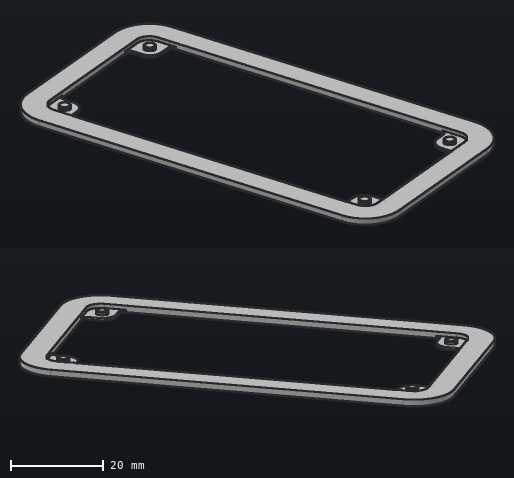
import cadquery as cq

length = 97.0
width = 52.0
thickness = 1.6
band = 5.8
outer_radius = 9.0
inner_radius = outer_radius - band

tab_size = 6.8
tab_thickness = 0.6
tab_radius = 3.2
root_radius = 1.2
pin_diameter = 2.7
pin_height = 0.8
pin_chamfer = 0.2
pin_inset = band + tab_size - tab_radius

opening_length = length - 2 * band
opening_width = width - 2 * band


def rounded_plate(size_x, size_y, height, radius):
    """Plate on the XY plane with rounded vertical edges."""
    return cq.Workplane("XY").rect(size_x, size_y).extrude(height).edges("|Z").fillet(radius)


def base_layer():
    """Lower layer: the frame with a rounded tab left in each corner of its opening."""
    long_cut = cq.Workplane("XY").rect(opening_length, opening_width - 2 * tab_size).extrude(tab_thickness)
    wide_cut = cq.Workplane("XY").rect(opening_length - 2 * tab_size, opening_width).extrude(tab_thickness)
    opening = long_cut.union(wide_cut)

    tab_x = opening_length / 2 - tab_size
    tab_y = opening_width / 2 - tab_size
    half_window = tab_radius / 2
    for side_x in (-1, 1):
        for side_y in (-1, 1):
            x = side_x * tab_x
            y = side_y * tab_y
            corner = cq.selectors.BoxSelector(
                (x - half_window, y - half_window, -tab_thickness),
                (x + half_window, y + half_window, 2 * tab_thickness),
            )
            opening = opening.edges(corner).edges("|Z").fillet(tab_radius)

    for end in (">X", "<X", ">Y", "<Y"):
        opening = opening.faces(end).edges("|Z").fillet(root_radius)
    return rounded_plate(length, width, tab_thickness, outer_radius).cut(opening)


def upper_layer():
    """Plain frame above the tabs."""
    height = thickness - tab_thickness
    outer = rounded_plate(length, width, height, outer_radius)
    opening = rounded_plate(opening_length, opening_width, height, inner_radius)
    return outer.cut(opening).translate((0, 0, tab_thickness))


def pins():
    """One round pin on each tab."""
    return (
        cq.Workplane("XY")
        .rect(length - 2 * pin_inset, width - 2 * pin_inset, forConstruction=True)
        .vertices()
        .circle(pin_diameter / 2)
        .extrude(tab_thickness + pin_height)
        .faces(">Z")
        .chamfer(pin_chamfer)
    )


result = base_layer().union(upper_layer()).union(pins()).clean()